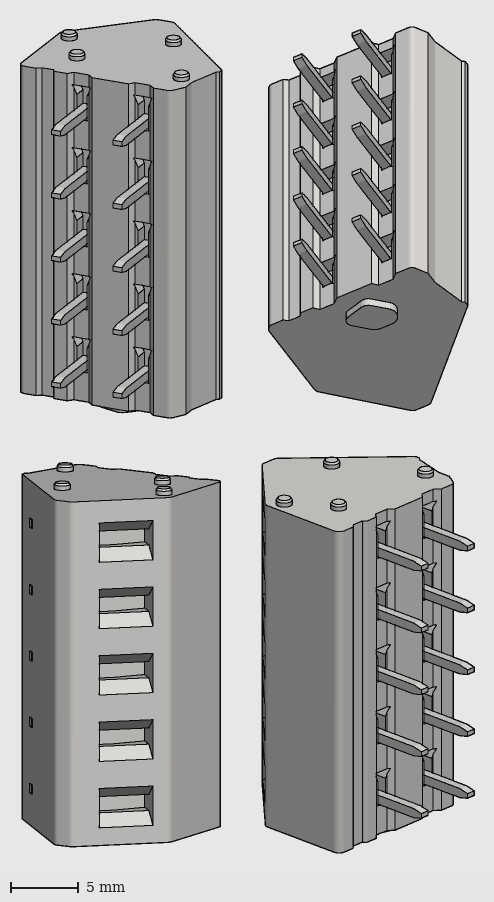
import cadquery as cq
import math

BODY_HEIGHT = 26.0
BODY_WIDTH = 14.1
BODY_DEPTH = 12.8
CORNER_RADIUS = 0.55

PITCH = 5.0
POLE_COUNT = 5
TOP_POLE_Z = 22.85
POLE_HEIGHTS = [TOP_POLE_Z - i * PITCH for i in range(POLE_COUNT)]
PIN_ROWS = [0, PITCH]

LEFT_FACE_TOP = 7.5
LEFT_FACE_RADIUS = 0.65
LEFT_PEAK_X = BODY_DEPTH - LEFT_FACE_TOP
NOSE_TOP = 5.47
NOSE_BOTTOM = 5.05
RIGHT_PEAK_X = BODY_WIDTH - (BODY_DEPTH - NOSE_TOP)

NOSE_LIP_WIDTH = 0.22
NOSE_LIP_HEIGHT = 0.15
FLANK_X = 13.15
FLANK_TOP = 2.23
FLANK_BOTTOM = 1.17
FRONT_RIGHT_X = 12.43
FRONT_RIGHT_RADIUS = 0.5

KEY_GROOVE_DEPTH = 0.27
KEY_GROOVE_LEFT = 1.47
KEY_GROOVE_FLOOR_LEFT = 1.82
KEY_GROOVE_RIGHT = 2.8
KEY_GROOVE_RADIUS = 0.25
PIN_GROOVE_DEPTH = 0.4
PIN_GROOVE_LEFT = 4.0
PIN_GROOVE_FLOOR_LEFT = 4.35
PIN_GROOVE_FLOOR_RIGHT = 5.58
PIN_GROOVE_RIGHT = 6.05

PIN_SIZE = 0.73
PIN_LEFT = 4.6
PIN_LENGTH = 4.0
PIN_TIP_LENGTH = 0.75
PIN_TIP_HEIGHT = 0.38

SLOT_DEPTH = 1.1
SLOT_LEFT = PIN_LEFT
SLOT_RIGHT = 5.45
SLOT_BELOW_POLE = 0.52
SLOT_NECK_ABOVE_POLE = 1.45
SLOT_TOP_ABOVE_POLE = 2.18
SLOT_FLARE = 0.33

ENTRY_LOW_Y = 8.43
ENTRY_HIGH_Y = 11.32
ENTRY_LENGTH = (ENTRY_HIGH_Y - ENTRY_LOW_Y) * math.sqrt(2)
ENTRY_HEIGHT = 2.96
ENTRY_NECK_HEIGHT = 1.22
ENTRY_FUNNEL_DEPTH = 1.3
ENTRY_FLOOR_DEPTH = 2.07
ENTRY_FLAT_LENGTH = 1.6
ENTRY_RAMP_DROP = 0.55

PAD_CENTER_X = 12.02
PAD_SIZE = 0.65
PAD_HEIGHT = 0.08

PEG_DIAMETER = 1.2
PEG_HEIGHT = 0.5
PEG_CHAMFER_RISE = 0.15
PEG_CHAMFER_INSET = 0.1
PEG_CENTERS = [(8.57, 8.8), (1.1, 6.6), (3.32, 3.18), (12.1, 2.6)]

KEY_HEIGHT = 0.7
KEY_CORNERS = [
    (5.28, 1.77, 0.52),
    (7.85, 1.03, 0.73),
    (10.64, 3.73, 0.82),
    (7.25, 3.73, 0.98),
]

OVERLAP = 0.27


def fillet_edge_at(solid, x, y, radius):
    """Round the vertical edge nearest to (x, y)."""
    height = solid.val().BoundingBox().center.z
    return solid.edges("|Z").edges(cq.NearestToPointSelector((x, y, height))).fillet(radius)


def make_body():
    outline = [
        (0, 0),
        (KEY_GROOVE_LEFT, 0),
        (KEY_GROOVE_FLOOR_LEFT, KEY_GROOVE_DEPTH),
        (KEY_GROOVE_RIGHT, KEY_GROOVE_DEPTH),
        (KEY_GROOVE_RIGHT, 0),
    ]
    for row in PIN_ROWS:
        outline += [
            (PIN_GROOVE_LEFT + row, 0),
            (PIN_GROOVE_FLOOR_LEFT + row, PIN_GROOVE_DEPTH),
            (PIN_GROOVE_FLOOR_RIGHT + row, PIN_GROOVE_DEPTH),
            (PIN_GROOVE_RIGHT + row, 0),
        ]
    outline += [
        (FRONT_RIGHT_X, 0),
        (FLANK_X, FLANK_BOTTOM),
        (FLANK_X, FLANK_TOP),
        (BODY_WIDTH - NOSE_LIP_WIDTH, NOSE_BOTTOM - NOSE_LIP_HEIGHT),
        (BODY_WIDTH, NOSE_BOTTOM),
        (BODY_WIDTH, NOSE_TOP),
        (RIGHT_PEAK_X, BODY_DEPTH),
        (LEFT_PEAK_X, BODY_DEPTH),
        (0, LEFT_FACE_TOP),
    ]
    body = cq.Workplane("XY").polyline(outline).close().extrude(BODY_HEIGHT)
    rounded_corners = [
        (0, 0, CORNER_RADIUS),
        (0, LEFT_FACE_TOP, LEFT_FACE_RADIUS),
        (LEFT_PEAK_X, BODY_DEPTH, CORNER_RADIUS),
        (RIGHT_PEAK_X, BODY_DEPTH, CORNER_RADIUS),
        (FRONT_RIGHT_X, 0, FRONT_RIGHT_RADIUS),
        (KEY_GROOVE_RIGHT, 0, KEY_GROOVE_RADIUS),
    ]
    for x, y, radius in rounded_corners:
        body = fillet_edge_at(body, x, y, radius)
    return body


def make_wire_entry(pole_z):
    """Flared slot cut into the left sloped face, with a partly ramped floor."""
    upper_end = (ENTRY_HIGH_Y - LEFT_FACE_TOP, ENTRY_HIGH_Y, pole_z)
    down_slope = (-1, -1, 0)
    inward = (1, -1, 0)

    neck_plane = cq.Plane(origin=upper_end, xDir=down_slope, normal=(0, 0, 1))
    neck = (
        cq.Workplane(neck_plane)
        .polyline([
            (0, 0),
            (0, ENTRY_FLOOR_DEPTH),
            (ENTRY_FLAT_LENGTH, ENTRY_FLOOR_DEPTH),
            (ENTRY_LENGTH, ENTRY_FLOOR_DEPTH + ENTRY_RAMP_DROP),
            (ENTRY_LENGTH, 0),
        ])
        .close()
        .extrude(ENTRY_NECK_HEIGHT / 2, both=True)
    )

    funnel_plane = cq.Plane(origin=upper_end, xDir=inward, normal=down_slope)
    funnel = (
        cq.Workplane(funnel_plane)
        .polyline([
            (0, -ENTRY_HEIGHT / 2),
            (ENTRY_FUNNEL_DEPTH, -ENTRY_NECK_HEIGHT / 2),
            (ENTRY_FUNNEL_DEPTH, ENTRY_NECK_HEIGHT / 2),
            (0, ENTRY_HEIGHT / 2),
        ])
        .close()
        .extrude(ENTRY_LENGTH)
    )
    return neck.union(funnel)


def make_pin_slot(row, pole_z):
    left = SLOT_LEFT + row
    right = SLOT_RIGHT + row
    neck_z = pole_z + SLOT_NECK_ABOVE_POLE
    top_z = pole_z + SLOT_TOP_ABOVE_POLE
    bottom_z = pole_z - SLOT_BELOW_POLE
    return (
        cq.Workplane("XZ")
        .polyline([
            (left, bottom_z),
            (right, bottom_z),
            (right, neck_z),
            (right + SLOT_FLARE, top_z),
            (left - SLOT_FLARE, top_z),
            (left, neck_z),
        ])
        .close()
        .extrude(-(PIN_GROOVE_DEPTH + SLOT_DEPTH))
    )


def make_pin(row, pole_z):
    root_y = PIN_GROOVE_DEPTH + SLOT_DEPTH + OVERLAP
    tip_start_y = PIN_TIP_LENGTH - PIN_LENGTH
    half_size = PIN_SIZE / 2
    half_tip = PIN_TIP_HEIGHT / 2
    return (
        cq.Workplane("YZ", origin=(PIN_LEFT + row, 0, pole_z))
        .polyline([
            (root_y, -half_size),
            (root_y, half_size),
            (tip_start_y, half_size),
            (-PIN_LENGTH, half_tip),
            (-PIN_LENGTH, -half_tip),
            (tip_start_y, -half_size),
        ])
        .close()
        .extrude(PIN_SIZE)
    )


def make_pad(pole_z):
    """Low square pad on the right sloped face."""
    pad_y = BODY_DEPTH - (PAD_CENTER_X - RIGHT_PEAK_X)
    slope_plane = cq.Plane(origin=(PAD_CENTER_X, pad_y, pole_z), xDir=(0, 0, 1), normal=(1, 1, 0))
    return (
        cq.Workplane(slope_plane)
        .workplane(offset=-OVERLAP)
        .rect(PAD_SIZE, PAD_SIZE)
        .extrude(OVERLAP + PAD_HEIGHT)
    )


def make_top_pegs():
    return (
        cq.Workplane("XY")
        .workplane(offset=BODY_HEIGHT - OVERLAP)
        .pushPoints(PEG_CENTERS)
        .circle(PEG_DIAMETER / 2)
        .extrude(OVERLAP + PEG_HEIGHT)
        .faces(">Z")
        .chamfer(PEG_CHAMFER_RISE, PEG_CHAMFER_INSET)
    )


def make_bottom_key():
    corners = [(x, y) for x, y, radius in KEY_CORNERS]
    key = (
        cq.Workplane("XY")
        .workplane(offset=-KEY_HEIGHT)
        .polyline(corners)
        .close()
        .extrude(KEY_HEIGHT + OVERLAP)
    )
    for x, y, radius in KEY_CORNERS:
        key = fillet_edge_at(key, x, y, radius)
    return key


result = make_body()
for z in POLE_HEIGHTS:
    result = result.cut(make_wire_entry(z)).union(make_pad(z))
    for row_offset in PIN_ROWS:
        result = result.cut(make_pin_slot(row_offset, z)).union(make_pin(row_offset, z))
result = result.union(make_top_pegs()).union(make_bottom_key())